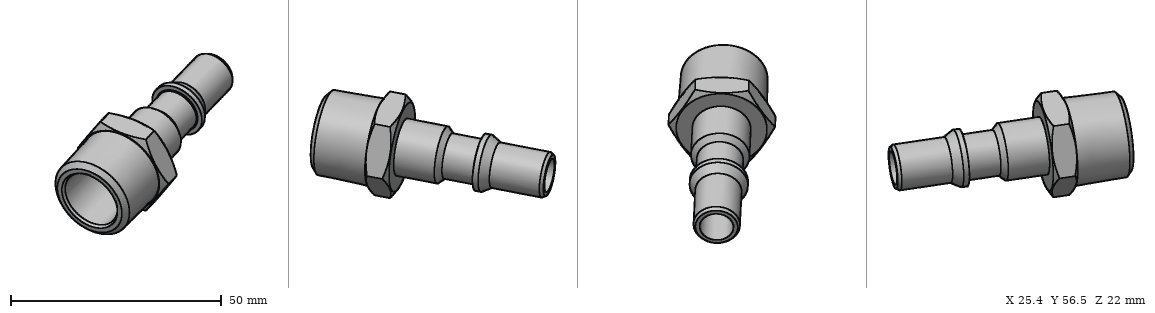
import cadquery as cq
import math

total_length = 56.5
thread_chamfer_length = 1.25
hex_start = 14.0
hex_end = 20.0
shoulder_start = 30.05
shoulder_end = 31.5
collar_start = 39.5
collar_rim_end = 40.9
collar_end = 43.3
tip_chamfer_length = 0.85
neck_flare = 0.2

thread_mouth_radius = 9.0
thread_small_radius = 10.35
thread_large_radius = 10.6
body_radius = 6.95
stem_radius = 5.55
tip_radius = 5.05
hex_across_flats = 22.0
hex_across_corners = hex_across_flats / math.cos(math.radians(30))
hex_face_radius = 10.8
hex_chamfer_angle = 30.0

bore_radius = 4.0
socket_mouth_radius = 7.75
socket_chamfer_length = 0.75
socket_radius = 7.3
socket_depth = 16.95
socket_cone_angle = 59.0


def revolve_about_y(points):
    """Revolve a closed (radius, y) outline about the Y axis."""
    return cq.Workplane("XY").polyline(points).close().revolve(360, (0, 0, 0), (0, 1, 0))


def make_turned_body():
    return revolve_about_y([
        (0, 0),
        (thread_mouth_radius, 0),
        (thread_small_radius, thread_chamfer_length),
        (thread_large_radius, hex_start),
        (thread_large_radius, hex_end),
        (body_radius, hex_end),
        (body_radius, shoulder_start),
        (stem_radius, shoulder_end),
        (stem_radius, collar_start - neck_flare),
        (stem_radius + neck_flare, collar_start),
        (body_radius, collar_start),
        (body_radius, collar_rim_end),
        (stem_radius, collar_end),
        (stem_radius, total_length - tip_chamfer_length),
        (tip_radius, total_length),
        (0, total_length),
    ])


def make_hex():
    """Hexagon with corners on X and both faces chamfered by a cone."""
    prism = (
        cq.Workplane("XZ", origin=(0, hex_start, 0))
        .polygon(6, hex_across_corners)
        .extrude(hex_start - hex_end)
    )
    corner_radius = hex_across_corners / 2
    corner_drop = (corner_radius - hex_face_radius) * math.tan(math.radians(hex_chamfer_angle))
    chamfer_envelope = revolve_about_y([
        (0, hex_start),
        (hex_face_radius, hex_start),
        (corner_radius, hex_start + corner_drop),
        (corner_radius, hex_end - corner_drop),
        (hex_face_radius, hex_end),
        (0, hex_end),
    ])
    return prism.intersect(chamfer_envelope)


def make_passage():
    """Chamfered socket with a conical floor, leading into the through bore."""
    cone_length = (socket_radius - bore_radius) / math.tan(math.radians(socket_cone_angle))
    return revolve_about_y([
        (0, 0),
        (socket_mouth_radius, 0),
        (socket_radius, socket_chamfer_length),
        (socket_radius, socket_depth),
        (bore_radius, socket_depth + cone_length),
        (bore_radius, total_length),
        (0, total_length),
    ])


result = make_turned_body().union(make_hex()).cut(make_passage())